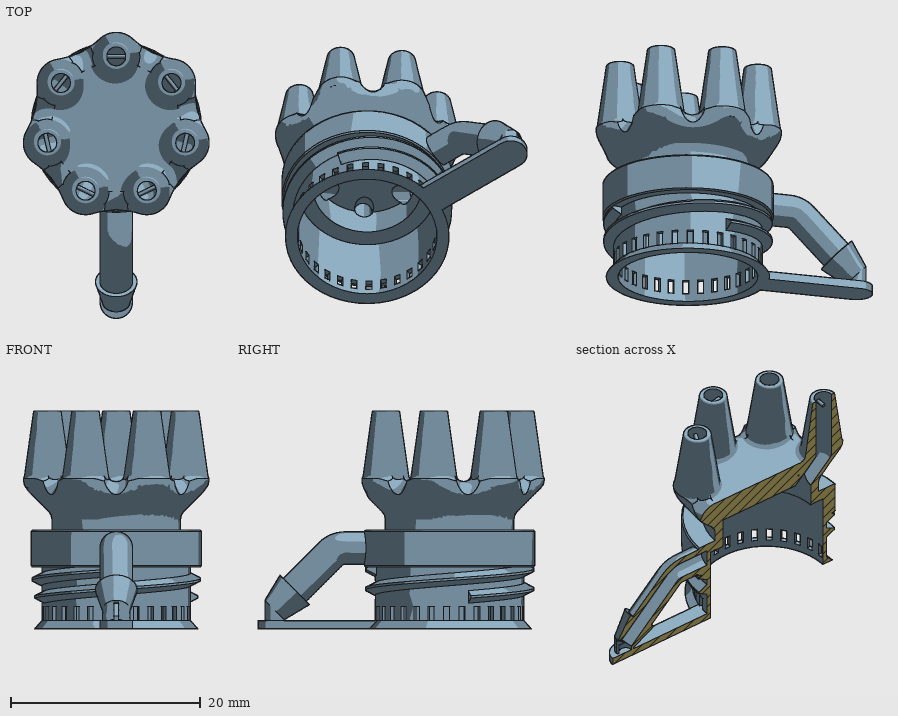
import cadquery as cq
import math

total_height = 23.0
reach = 20.18

flange_height = 0.87
flange_radius = 8.63
skirt_radius = 7.85
skirt_bore_radius = 7.35
collar_radius = 9.0
collar_bottom = 6.52
collar_top = 10.45
collar_edge = 0.15
neck_radius = 6.8
neck_bore_radius = 5.73
neck_bore_top = 12.67
neck_blend = 1.2
cone_start = 12.05
shoulder_height = 9.05

slot_count = 30
slot_width = 0.63
slot_top = 2.35
slot_first_angle = 9.6

thread_starts = 2
thread_lead = 4.0
thread_turns = 0.74
thread_bottom = 3.38
thread_start_angle = 14.5
thread_crest_radius = 8.9
thread_root_half = 0.75
thread_crest_half = 0.12
thread_overlap = 0.18

spout_count = 7
spout_circle = 7.45
lobe_radius = 2.53
waist_radius = 8.75
plate_top = 15.57
lobe_fillet = 1.15
foot_radius = 3.17
foot_top = 16.15
spout_base_radius = 2.4
spout_tip_radius = 1.45
spout_edge = 0.18
valley_start = 6.8
valley_roll = 2.02
valley_hollow = 1.35
valley_sweep = 120.0
spout_bore_radius = 1.0
bend_height = 14.93
duct_run = 3.77
rod_radius = 0.2
rod_depth = 1.1
rod_embed = 0.15

tube_radius = 1.72
tube_bore_radius = 0.97
tube_height = 8.55
bend_start = 11.0
bend_radius = 2.17
tube_angle = math.radians(45)
barb_reach = 16.32
barb_length = 3.02
barb_radius = 2.2
barb_tip_radius = 1.45
slit_width = 0.5
post_bore_radius = 0.72


def around(count, first_angle=0.0):
    return [first_angle + i * 360.0 / count for i in range(count)]


def polar(radius, degrees):
    angle = math.radians(degrees)
    return (radius * math.cos(angle), radius * math.sin(angle))


def copies(part, angles):
    """Copies of a part turned about the main axis, one for each angle."""
    turned = [part.val().rotate(cq.Vector(0, 0, 0), cq.Vector(0, 0, 1), angle) for angle in angles]
    return cq.Workplane(cq.Compound.makeCompound(turned))


def cylinder(radius, bottom, top):
    return cq.Workplane("XY").workplane(offset=bottom).circle(radius).extrude(top - bottom)


def make_base():
    flange = (
        cq.Workplane("XZ")
        .polyline([(0, 0), (flange_radius, 0), (skirt_radius, flange_height), (0, flange_height)])
        .close()
        .revolve(360, (0, 0, 0), (0, 1, 0))
    )
    skirt = cylinder(skirt_radius, flange_height, collar_bottom)
    collar = cylinder(collar_radius, collar_bottom, collar_top).edges().chamfer(collar_edge)
    return flange.union(skirt).union(collar)


def make_thread():
    root = skirt_radius - thread_overlap
    profile = (
        cq.Workplane("XZ")
        .polyline([
            (root, -thread_root_half),
            (thread_crest_radius, -thread_crest_half),
            (thread_crest_radius, thread_crest_half),
            (root, thread_root_half),
        ])
        .close()
    )
    path = cq.Workplane(cq.Wire.makeHelix(thread_lead, thread_turns * thread_lead, skirt_radius))
    return profile.sweep(path, isFrenet=True).translate((0, 0, thread_bottom))


def lobed_outline():
    """Convex lobe arcs joined by tangent concave arcs of larger radius."""
    half_step = 180.0 / spout_count
    across = spout_circle * math.sin(math.radians(half_step))
    along = spout_circle * math.cos(math.radians(half_step))
    gap = waist_radius - along
    beyond = (across**2 - (lobe_radius - gap) ** 2) / (2 * (lobe_radius - gap))
    hollow_radius = beyond - gap
    share = lobe_radius / (lobe_radius + hollow_radius)
    touch_x = along + share * beyond
    touch_y = across * (1 - share)
    touch_radius = math.hypot(touch_x, touch_y)
    touch_angle = half_step - math.degrees(math.atan2(touch_y, touch_x))

    outline = cq.Workplane("XY").moveTo(*polar(touch_radius, 90 - touch_angle))
    for angle in around(spout_count, 90):
        outline = outline.threePointArc(
            polar(spout_circle + lobe_radius, angle), polar(touch_radius, angle + touch_angle)
        ).threePointArc(
            polar(waist_radius, angle + half_step),
            polar(touch_radius, angle + 2 * half_step - touch_angle),
        )
    return outline.close()


def make_spout():
    """Tapered spout above a straight lobe, standing on the spout circle along +X."""
    return (
        cq.Workplane("XZ", origin=(spout_circle, 0, 0))
        .polyline([
            (0, cone_start),
            (lobe_radius, cone_start),
            (lobe_radius, plate_top),
            (spout_base_radius, foot_top),
            (spout_tip_radius, total_height),
            (0, total_height),
        ])
        .close()
        .revolve(360, (0, 0, 0), (0, 1, 0))
        .faces(">Z")
        .edges()
        .fillet(spout_edge)
    )


def make_foot():
    """Concave flare between the plate and a spout, along +X."""
    sag = 0.3 * (foot_radius - spout_base_radius)
    return (
        cq.Workplane("XZ", origin=(spout_circle, 0, 0))
        .moveTo(0, cone_start)
        .lineTo(foot_radius, cone_start)
        .lineTo(foot_radius, plate_top)
        .threePointArc(
            (spout_base_radius + sag, (plate_top + foot_top) / 2 - sag / 2),
            (spout_base_radius, foot_top),
        )
        .lineTo(0, foot_top)
        .close()
        .revolve(360, (0, 0, 0), (0, 1, 0))
    )


def make_valley_cutter():
    """Part of a ring that rolls the plate edge over between two spouts, along +X."""
    return (
        cq.Workplane("YZ", origin=(valley_start, 0, plate_top + valley_hollow))
        .circle(valley_hollow)
        .revolve(
            valley_sweep,
            (0, -valley_roll - valley_hollow, 0),
            (1, -valley_roll - valley_hollow, 0),
        )
    )


def make_manifold():
    widest = spout_circle + lobe_radius + 0.3
    cone_top = cone_start + widest - neck_radius
    cone = (
        cq.Workplane("XZ")
        .polyline([
            (0, collar_top),
            (neck_radius, collar_top),
            (neck_radius, cone_start),
            (widest, cone_top),
            (widest, total_height),
            (0, total_height),
        ])
        .close()
        .revolve(360, (0, 0, 0), (0, 1, 0))
        .edges(cq.selectors.BoxSelector(
            (-widest, -widest, cone_start - 0.03), (widest, widest, cone_start + 0.03)
        ))
        .fillet(neck_blend)
    )
    prism = lobed_outline().extrude(total_height)
    blank = cone.intersect(prism)
    rim_low = cone_start + waist_radius - neck_radius - 0.03
    rim_high = cone_top + 0.3
    blank = blank.edges(
        cq.selectors.BoxSelector((-widest, -widest, rim_low), (widest, widest, rim_high))
    ).fillet(lobe_fillet)

    spout_angles = around(spout_count, 90)
    valley_angles = around(spout_count, 90 + 180.0 / spout_count)
    spouts = copies(make_spout(), spout_angles)
    plate = cylinder(widest, collar_top, plate_top).union(copies(make_foot(), spout_angles))
    plate = plate.cut(copies(make_valley_cutter(), valley_angles))
    return blank.intersect(plate.union(spouts))


def make_spout_duct():
    """Vertical spout bore with a 45 degree duct down toward the main axis, along +X."""
    bore = cylinder(spout_bore_radius, bend_height, total_height).translate((spout_circle, 0, 0))
    elbow = cq.Workplane("XY").sphere(spout_bore_radius).translate((spout_circle, 0, bend_height))
    slant = cq.Workplane(cq.Solid.makeCylinder(
        spout_bore_radius,
        duct_run * math.sqrt(2),
        cq.Vector(spout_circle, 0, bend_height),
        cq.Vector(-1, 0, -1),
    ))
    return bore.union(elbow).union(slant)


def make_spout_rod():
    """Round bar across a spout bore, square to the radial direction."""
    return (
        cq.Workplane("XZ")
        .circle(rod_radius)
        .extrude(spout_bore_radius + rod_embed, both=True)
        .translate((spout_circle, 0, total_height - rod_depth))
    )


bend_end_reach = bend_start + bend_radius * math.sin(tube_angle)
bend_end_height = tube_height - bend_radius * (1 - math.cos(tube_angle))
barb_height = bend_end_height - (barb_reach - bend_end_reach) * math.tan(tube_angle)
tube_direction = cq.Vector(0, -math.cos(tube_angle), -math.sin(tube_angle))
barb_base = cq.Vector(0, -barb_reach, barb_height)
barb_tip = barb_base + tube_direction * barb_length


def make_tube(radius):
    """Round bar along the drain path from inside the collar wall to the barb tip."""
    half_angle = tube_angle / 2
    path = (
        cq.Workplane("YZ")
        .moveTo(-skirt_radius, tube_height)
        .lineTo(-bend_start, tube_height)
        .threePointArc(
            (
                -bend_start - bend_radius * math.sin(half_angle),
                tube_height - bend_radius * (1 - math.cos(half_angle)),
            ),
            (-bend_end_reach, bend_end_height),
        )
        .lineTo(barb_tip.y, barb_tip.z)
    )
    return (
        cq.Workplane("XZ", origin=(0, -skirt_radius, tube_height)).circle(radius).sweep(path)
    )


def make_drain():
    """Bent tube ending in a barb, with a post from the barb tip down to the tab."""
    stem = make_tube(tube_radius)
    beyond_barb = cq.Workplane(cq.Solid.makeCylinder(
        2 * tube_radius, 2 * barb_length, barb_base, tube_direction
    ))
    barb = cq.Workplane(cq.Solid.makeCone(
        barb_radius, barb_tip_radius, barb_length, barb_base, tube_direction
    ))
    end_face = cq.Face.makeFromWires(
        cq.Wire.makeCircle(barb_tip_radius, barb_tip, tube_direction)
    )
    post = cq.Workplane(cq.Solid.extrudeLinear(end_face, cq.Vector(0, 0, -barb_tip.z)))
    above_base = cq.Workplane("XY").box(
        2 * reach, 2 * reach, total_height, centered=(True, True, False)
    )
    return stem.cut(beyond_barb).union(barb).union(post.intersect(above_base))


def make_tab():
    end_center = reach - tube_radius
    return (
        cq.Workplane("XY")
        .moveTo(-tube_radius, -skirt_bore_radius)
        .lineTo(-tube_radius, -end_center)
        .threePointArc((0, -reach), (tube_radius, -end_center))
        .lineTo(tube_radius, -skirt_bore_radius)
        .close()
        .extrude(flange_height)
    )


def make_drain_bore():
    """Bore of the drain tube, the hollow of the post and the slit in its outer wall."""
    bore = make_tube(tube_bore_radius)
    sump = cylinder(post_bore_radius, flange_height, barb_tip.z).translate((0, barb_tip.y, 0))
    slit = cq.Workplane("XY").box(
        slit_width, reach + barb_tip.y, barb_tip.z, centered=(True, False, False)
    ).translate((0, -reach, flange_height))
    past_barb_tip = cq.Workplane(cq.Solid.makeCylinder(
        2 * tube_radius, barb_length, barb_tip, tube_direction
    ))
    return bore.union(sump).union(slit.intersect(past_barb_tip))


body = make_base().union(make_manifold())
body = body.union(copies(make_thread(), around(thread_starts, thread_start_angle)))
body = body.union(make_drain()).union(make_tab())

body = body.cut(cylinder(skirt_bore_radius, 0, shoulder_height))
body = body.cut(cylinder(neck_bore_radius, shoulder_height, neck_bore_top))
body = body.cut(make_drain_bore())

slot = (
    cq.Workplane("XY")
    .box(flange_radius - neck_radius, slot_width, slot_top - flange_height, centered=(True, True, False))
    .translate((skirt_radius, 0, flange_height))
)
body = body.cut(copies(slot, around(slot_count, slot_first_angle)))

spout_angles = around(spout_count, 90)
body = body.cut(copies(make_spout_duct(), spout_angles))
body = body.union(copies(make_spout_rod(), spout_angles))

result = body